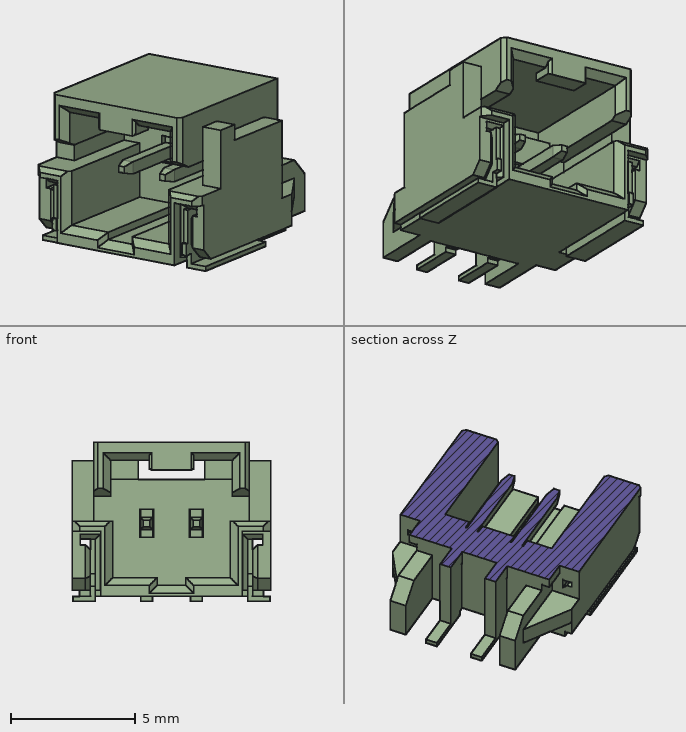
import cadquery as cq
import math


half_width = 8.0 / 2
length = 9.4
height = 6.4
metal = 0.2
base_z = metal

upper_half = 3.13
lower_half = 2.85
rear_y = 6.95
front_chamfer_x = 0.17
front_chamfer_y = 0.2
overhang_z = 2.81

flare = 0.31
lip_bevel_depth = 0.58
cavity_back = 5.17
cavity_upper_half = 2.44
cavity_lower_half = 2.37
ceiling_z = 5.67
floor_z = 0.95
groove_half = 0.58
groove_z = floor_z - flare
lip_z = 4.23
shelf_z = 3.215
window_z = 4.91
window_half = 1.335
window_recess_back = 6.0

key_half = 0.9
key_corner = 0.11
key_z = 5.28
key_bevel_rise = 0.05
key_depth = 1.0

wing_front = 0.41
wing_rear = 6.0
wing_rear_low = 6.69
wing_z = 0.44
wing_low_top = 1.76
wing_top = 5.01
post_front = 1.63
post_rear = 2.62
post_top = 5.66
toe_chamfer = 0.49
shelf_chamfer = 0.2
nose_side_chamfer = 0.31
support_half = 3.7
support_front = 5.095

arm_inner = 2.1
arm_outer = 2.79
arm_top = 2.51
arm_chamfer = 0.75
gusset_z = 1.04

nail_inner = 3.06
nail_outer = nail_inner + metal
nail_top = 2.5
nail_upper_front = 0.34
nail_step_front = 0.24
nail_step_top = 1.11
nail_step_bottom = 0.61
nail_foot_front = 0.58
nail_foot_rear = 4.89
nail_foot_outer = 3.97
slot_flare = 0.2
window_slot_outer = 3.67
window_slot_z = 2.275

pitch = 2.0
pin_width = 0.49
pin_height = 0.51
pin_z = 3.13
pin_tip = 1.86
pin_taper = 0.47
pin_tip_size = 0.26
stem_z = 2.585
stem_top = 3.7
stem_clearance = 0.04
stem_pocket_depth = 0.38
lead_gap = 0.06
lead_front = rear_y + lead_gap
lead_rear = 8.01
lead_top = 4.06
foot_front = 7.15
foot_rear = 9.3


def box(x, y, z):
    """Box spanning the (low, high) pairs x, y and z."""
    size = [high - low for low, high in (x, y, z)]
    return cq.Workplane("XY").box(*size, centered=False).translate((x[0], y[0], z[0]))


def side_profile(points, x_low, x_high):
    """Extrude a (y, z) outline along X."""
    return cq.Workplane("YZ").polyline(points).close().extrude(x_high - x_low).translate((x_low, 0, 0))


def plan_profile(points, z_low, z_high):
    """Extrude an (x, y) outline along Z."""
    return cq.Workplane("XY").polyline(points).close().extrude(z_high - z_low).translate((0, 0, z_low))


def loft_y(front_points, rear_points, y_front, y_rear):
    """Ruled loft between two (x, z) outlines with matching corners."""
    wires = [
        cq.Wire.makePolygon([cq.Vector(x, y, z) for x, z in points], close=True)
        for points, y in ((front_points, y_front), (rear_points, y_rear))
    ]
    return cq.Workplane(obj=cq.Solid.makeLoft(wires, True))


def rectangle(x_low, x_high, z_low, z_high):
    return [(x_low, z_low), (x_high, z_low), (x_high, z_high), (x_low, z_high)]


def both_sides(body):
    """Body on the +X side together with its mirror image."""
    return body.union(body.mirror("YZ"))


def core():
    upper = plan_profile(
        [
            (-upper_half, rear_y),
            (-upper_half, front_chamfer_y),
            (-upper_half + front_chamfer_x, 0),
            (upper_half - front_chamfer_x, 0),
            (upper_half, front_chamfer_y),
            (upper_half, rear_y),
        ],
        overhang_z,
        height,
    )
    lower = box((-lower_half, lower_half), (0, wing_rear), (base_z, shelf_z))
    rear = box((-arm_outer, arm_outer), (wing_rear, rear_y), (base_z, shelf_z))
    return upper.union(lower).union(rear)


def wing():
    outline = [
        (wing_front + toe_chamfer, wing_z),
        (wing_rear_low, wing_z),
        (wing_rear_low, wing_low_top),
        (wing_rear, wing_low_top),
        (wing_rear, wing_top),
        (post_rear, wing_top),
        (post_rear, post_top),
        (post_front, post_top),
        (post_front, shelf_z),
        (wing_front, shelf_z),
        (wing_front, wing_z + toe_chamfer),
    ]
    body = side_profile(outline, arm_outer, half_width)
    inner_wall = box((arm_outer, nail_inner), (wing_front, wing_rear), (wing_z, shelf_z))
    support = box((arm_outer, support_half), (support_front, wing_rear_low), (base_z, wing_z))
    return body.union(inner_wall).union(support)


def wing_nose():
    """End of the shelf that reaches the mating face, with its outer corner chamfered."""
    nose = box((arm_outer, half_width), (0, wing_front), (overhang_z, shelf_z))
    corner = plan_profile(
        [
            (half_width - nose_side_chamfer, 0),
            (half_width, 0),
            (half_width, nose_side_chamfer),
        ],
        overhang_z,
        shelf_z,
    )
    return nose.cut(corner)


def arm():
    body = side_profile(
        [
            (wing_rear, base_z),
            (length, base_z),
            (length, arm_top - arm_chamfer),
            (length - arm_chamfer, arm_top),
            (wing_rear, arm_top),
        ],
        arm_inner,
        arm_outer,
    )
    gusset = plan_profile(
        [
            (arm_outer, length - arm_chamfer),
            (arm_outer, wing_rear_low),
            (half_width, wing_rear_low),
        ],
        gusset_z,
        wing_low_top,
    )
    return body.union(gusset)


def cavity():
    def lower_outline(grow):
        half = cavity_lower_half + grow
        groove = groove_half + grow
        return [
            (-half, shelf_z),
            (-half, floor_z - grow),
            (-groove, floor_z - grow),
            (-groove, groove_z - grow),
            (groove, groove_z - grow),
            (groove, floor_z - grow),
            (half, floor_z - grow),
            (half, shelf_z),
        ]

    def upper_outline(grow):
        half = cavity_upper_half + grow
        return rectangle(-half, half, lip_z, ceiling_z + grow)

    void = box((-upper_half, upper_half), (0, cavity_back), (shelf_z, lip_z))
    for outline in (lower_outline, upper_outline):
        straight = cq.Workplane("XZ").polyline(outline(0)).close().extrude(-cavity_back)
        void = void.union(straight)
        void = void.union(loft_y(outline(flare), outline(0), 0, flare))
    lip_bevel = side_profile(
        [(0, lip_z), (lip_bevel_depth, lip_z), (0, lip_z + flare)], -upper_half, upper_half
    )
    recess = box(
        (-cavity_upper_half, cavity_upper_half), (cavity_back, window_recess_back), (window_z, ceiling_z)
    )
    window = box((-window_half, window_half), (cavity_back, rear_y), (window_z, ceiling_z))
    shelf_bevel = side_profile(
        [(0, shelf_z - shelf_chamfer), (shelf_chamfer, shelf_z), (0, shelf_z)], -half_width, half_width
    )
    return void.union(lip_bevel).union(shelf_bevel).union(recess).union(window)


def key():
    """Polarising key under the roof, with bevelled front corners and a flat underside."""
    roof = ceiling_z + flare
    bar = side_profile(
        [
            (0, key_z),
            (key_corner, key_z + key_bevel_rise),
            (key_depth, key_z + key_bevel_rise),
            (key_depth, roof),
            (0, roof),
        ],
        -key_half,
        key_half,
    )
    corner = plan_profile(
        [(key_half - key_corner, 0), (key_half, 0), (key_half, key_corner)], key_z, roof
    )
    return bar.cut(both_sides(corner))


def nail_slot():
    slot = box((nail_inner, nail_outer), (wing_front, support_front), (base_z, nail_top))
    lip_edge = nail_outer + slot_flare
    window = (
        cq.Workplane("XZ")
        .polyline(
            [
                (nail_outer, nail_top),
                (window_slot_outer, nail_top),
                (window_slot_outer, window_slot_z),
                (lip_edge, window_slot_z),
                (nail_outer, window_slot_z - slot_flare),
            ]
        )
        .close()
        .extrude(-wing_rear)
        .intersect(box((0, half_width), (wing_front, wing_rear), (0, height)))
    )
    slot_end = wing_front + slot_flare
    lead_in = loft_y(
        rectangle(nail_inner - slot_flare, lip_edge, wing_z, nail_top + slot_flare),
        rectangle(nail_inner, nail_outer, wing_z, nail_top),
        wing_front,
        slot_end,
    )
    window_lead_in = side_profile(
        [(wing_front, nail_top), (slot_end, nail_top), (wing_front, nail_top + slot_flare)],
        nail_outer,
        window_slot_outer,
    )
    toe_top = cq.Plane(
        origin=(nail_outer, wing_front, wing_z + toe_chamfer), xDir=(1, 0, 0), normal=(0, 1, -1)
    )
    toe_bevel = (
        cq.Workplane(toe_top)
        .polyline([(0, 0), (slot_flare, 0), (0, -slot_flare)])
        .close()
        .extrude(toe_chamfer * math.sqrt(2) + slot_flare)
    )
    return slot.union(window).union(lead_in).union(window_lead_in).union(toe_bevel)


def nail():
    plate = side_profile(
        [
            (nail_foot_front, 0),
            (nail_foot_rear, 0),
            (nail_foot_rear, nail_top),
            (nail_upper_front, nail_top),
            (nail_upper_front, nail_step_top),
            (nail_step_front, nail_step_top),
            (nail_step_front, nail_step_bottom),
            (nail_foot_front, nail_step_bottom),
        ],
        nail_inner,
        nail_outer,
    )
    foot = box((nail_inner, nail_foot_outer), (nail_foot_front, nail_foot_rear), (0, metal))
    return plate.union(foot)


def terminal_pocket(x):
    half = pin_width / 2 + stem_clearance
    return box((x - half, x + half), (cavity_back, cavity_back + stem_pocket_depth), (stem_z, stem_top))


def terminal(x):
    def pin_outline(width, tall):
        return rectangle(x - width / 2, x + width / 2, pin_z - tall / 2, pin_z + tall / 2)

    sides = (x - pin_width / 2, x + pin_width / 2)
    taper_end = pin_tip + pin_taper
    tip = loft_y(
        pin_outline(pin_tip_size, pin_tip_size), pin_outline(pin_width, pin_height), pin_tip, taper_end
    )
    pin = box(sides, (taper_end, lead_front), (pin_z - pin_height / 2, pin_z + pin_height / 2))
    stem = box(sides, (cavity_back + stem_pocket_depth / 2, lead_front), (stem_z, stem_top))
    lead = box(sides, (lead_front, lead_rear), (metal, lead_top))
    foot = box(sides, (foot_front, foot_rear), (0, metal))
    return tip.union(pin).union(stem).union(lead).union(foot)


housing = core().union(both_sides(wing())).union(both_sides(wing_nose())).union(both_sides(arm()))
housing = housing.cut(cavity()).cut(both_sides(nail_slot())).union(key())

result = housing.union(both_sides(nail()))
for terminal_x in (-pitch / 2, pitch / 2):
    result = result.cut(terminal_pocket(terminal_x)).union(terminal(terminal_x))